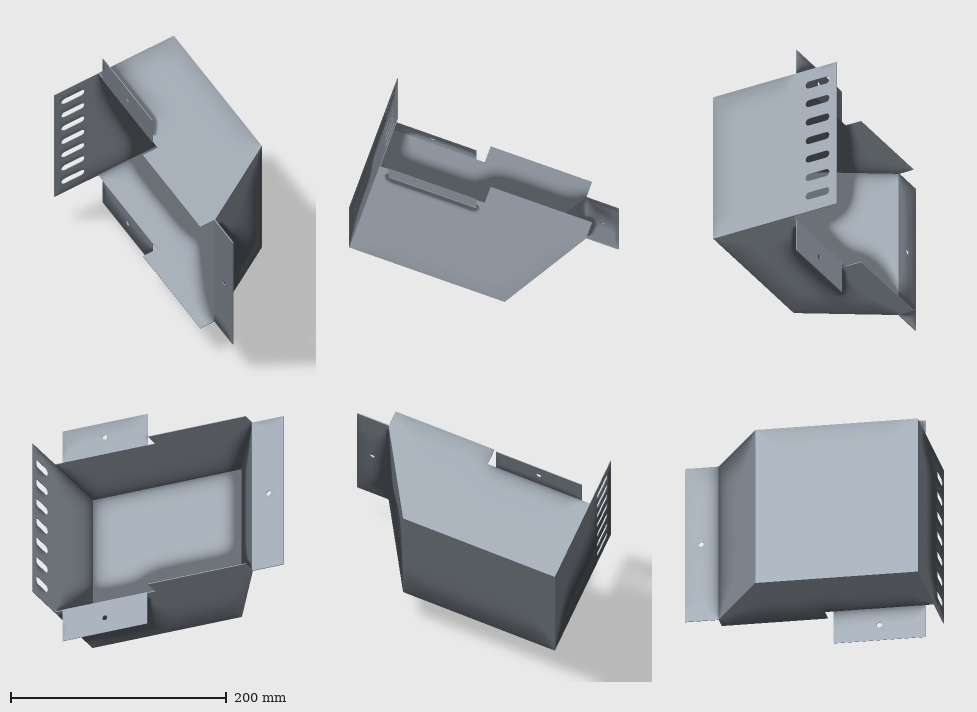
import cadquery as cq
import math

sheet = 0.64
length = 235.4
height = 153
side_wall_depth = 131.0
plate_depth = 82.8
lip_depth = 99.0
lip_start = 103.5
back_width = 153.2
flange_width = 31.8
flange_thickness = 1.0
tab_start = 8.7
tab_width = 86.5
tab_height = 31.8
hole_diameter = 5.0
tab_hole_inset = 15.0
flange_hole_inset = 15.3
slot_count = 7
slot_pitch = 20.0
slot_length = 25.2
slot_height = 7.5
slot_front_inset = 7.8

slope_end = length - flange_width
slope_angle = math.atan2(plate_depth, slope_end - back_width)
back_bend_shift = sheet * math.tan(slope_angle / 2)
slope_width = sheet / math.sin(slope_angle)


def make_hole(x, z, thickness):
    """Cutter for a screw hole along Y through a tab or the flange."""
    hole = cq.Workplane("XZ", origin=(x, -plate_depth, z))
    return hole.circle(hole_diameter / 2).extrude(thickness)


def make_wrap():
    """Side wall, back panel and slope, bent from one strip of sheet."""
    outline = [
        (0, -side_wall_depth),
        (0, 0),
        (back_width, 0),
        (slope_end, -plate_depth),
        (slope_end - slope_width, -plate_depth),
        (back_width - back_bend_shift, -sheet),
        (sheet, -sheet),
        (sheet, -side_wall_depth),
    ]
    return cq.Workplane("XY", origin=(0, 0, -height / 2)).polyline(outline).close().extrude(height)


def make_slots():
    """Cutter for the column of vent slots through the side wall."""
    slot_y = -side_wall_depth + slot_front_inset + slot_length / 2
    return (
        cq.Workplane("YZ")
        .center(slot_y, 0)
        .rarray(2.4, slot_pitch, 1, slot_count)
        .slot2D(slot_length, slot_height)
        .extrude(sheet)
    )


def make_end_plate():
    """Upper end plate with its lip."""
    outline = [
        (0, 0),
        (back_width, 0),
        (slope_end, -plate_depth),
        (slope_end, -lip_depth),
        (lip_start, -lip_depth),
        (lip_start, -plate_depth),
        (0, -plate_depth),
    ]
    return cq.Workplane("XY", origin=(0, 0, height / 2 - sheet)).polyline(outline).close().extrude(sheet)


def make_tab():
    """Upper mounting tab, standing on the front edge of the end plate."""
    tab = (
        cq.Workplane("XY", origin=(tab_start, -plate_depth - sheet, height / 2 - sheet))
        .box(tab_width, sheet, tab_height + sheet, centered=False)
    )
    return tab.cut(make_hole(tab_start + tab_width / 2, height / 2 + tab_height - tab_hole_inset, sheet))


def make_housing():
    """Open box of wrap, two end plates and two tabs, symmetric about Z = 0."""
    end = make_end_plate().union(make_tab())
    return make_wrap().cut(make_slots()).union(end).union(end.mirror("XY"))


def make_flange():
    """Mounting strip along the front edge of the slope, notched for the lips of the housing."""
    strip = (
        cq.Workplane("XY", origin=(slope_end - slope_width, -plate_depth - flange_thickness, -height / 2))
        .box(length - slope_end + slope_width, flange_thickness, height, centered=False)
    )
    hole = make_hole(length - flange_hole_inset, 0, flange_thickness)
    return strip.cut(hole).cut(make_housing())


housing = make_housing()
flange = make_flange()
result = cq.Compound.makeCompound([housing.val(), flange.val()])